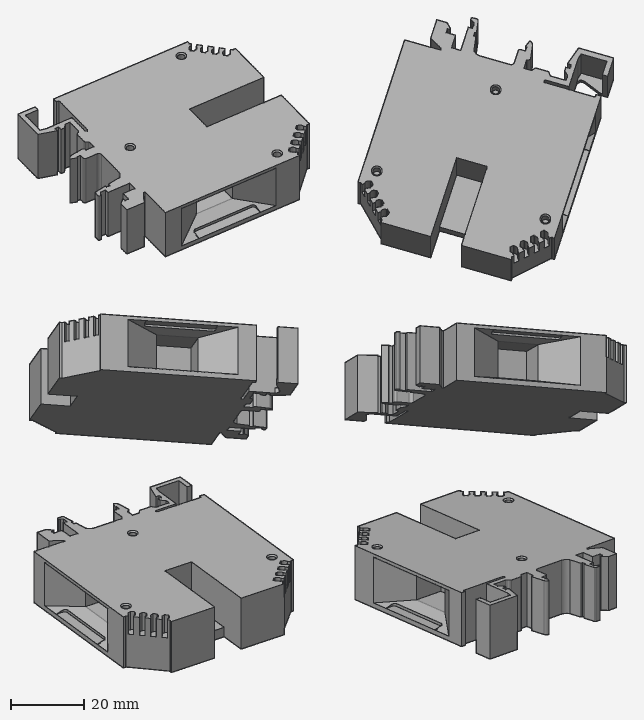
import cadquery as cq


width = 56.0
height = 64.5
thickness = 16.0
overlap = 0.5
mid_x = width / 2

body_bottom = 11.6
shoulder_y = 55.1
top_corner_x = 9.43
bevel_low = (0.8, 54.97)
bevel_length_x = 8.8
bevel_high = (bevel_low[0] + bevel_length_x, bevel_low[1] + bevel_length_x)

slot_width = 8.7
slot_bottom_y = 40.4
ledge_top_y = 56.3
ledge_thickness = 3.0

dimple_mouth_diameter = 2.9
dimple_diameter = 2.1
dimple_depth = 3.0
dimple_side_offset = 4.0
dimple_upper_y = 50.45
dimple_lower_y = 18.3

groove_count = 4
groove_first_x = 1.83
groove_pitch_x = 2.21
groove_height = 5.6
groove_neck_width = 1.5
groove_bulb_diameter = 2.1
groove_bulb_depth = 1.6
groove_end_width = 1.1
groove_end_depth = 2.75

funnel_mouth_y = (16.8, 47.5)
funnel_mouth_z = (1.45, 15.0)
throat_y = (26.3, 37.9)
throat_z = (3.4, 13.57)
funnel_depth = 7.1
throat_depth = 16.0
relief_y = (22.5, 42.4)
relief_depth = 3.05
relief_corner_radius = 0.9

web_bottom = 10.07
web_left = 9.2
web_right = 45.8
spring_slot_left = 1.5
spring_slot_right = 16.1
spring_slot_height = 0.8
root_y = web_bottom + overlap

cup_wall = 1.5
cup_height = 5.6
cup_floor_thickness = 1.5


def prism(outline, depth=thickness):
    """Prism standing on the lower face, over a closed outline of straight sides."""
    return cq.Workplane("XY").polyline(outline).close().extrude(depth)


def box(x_range, y_range, z_range):
    """Box between the given limits."""
    size = [high - low for low, high in (x_range, y_range, z_range)]
    corner = (x_range[0], y_range[0], z_range[0])
    return cq.Workplane("XY").box(*size, centered=False).translate(corner)


def mirrored(shape):
    """Copy of a shape on the other side of the middle plane."""
    return shape.mirror("YZ", (mid_x, 0, 0))


def make_housing():
    left_half = [
        (mid_x, body_bottom),
        (0, body_bottom),
        (0, shoulder_y),
        (bevel_low[0], shoulder_y),
        bevel_low,
        bevel_high,
        (top_corner_x, bevel_high[1]),
        (top_corner_x, height),
        (mid_x, height),
    ]
    half = prism(left_half)
    return half.union(mirrored(half))


def make_jumper_slot():
    slot_x = (mid_x - slot_width / 2, mid_x + slot_width / 2)
    upper = box(slot_x, (slot_bottom_y, height), (ledge_thickness, thickness))
    opening = box(slot_x, (ledge_top_y, height), (0, thickness))
    return upper.union(opening)


def make_spring_slot():
    radius = spring_slot_height / 2
    end_x = spring_slot_right - radius
    top = body_bottom + spring_slot_height
    return (
        cq.Workplane("XY")
        .moveTo(spring_slot_left, body_bottom)
        .lineTo(end_x, body_bottom)
        .threePointArc((spring_slot_right, body_bottom + radius), (end_x, top))
        .lineTo(spring_slot_left, top)
        .close()
        .extrude(thickness)
    )


def make_dimples():
    straight = dimple_depth - (dimple_mouth_diameter - dimple_diameter) / 2
    places = [
        (dimple_side_offset, dimple_upper_y),
        (width - dimple_side_offset, dimple_upper_y),
        (mid_x, dimple_lower_y),
    ]
    profile = [
        (0, -dimple_depth),
        (dimple_diameter / 2, -dimple_depth),
        (dimple_diameter / 2, straight - dimple_depth),
        (dimple_mouth_diameter / 2, 0),
        (0, 0),
    ]
    dimple = cq.Workplane("XZ").polyline(profile).close().revolve(360, (0, 0), (0, 1))
    dimples = cq.Workplane("XY")
    for x, y in places:
        dimples = dimples.add(dimple.translate((x, y, thickness)))
    return dimples.combine()


def make_marker_grooves():
    neck_x = (-groove_neck_width / 2, groove_neck_width / 2)
    end_x = (-groove_end_width / 2, groove_end_width / 2)
    tall = (0, groove_height)
    neck = box(neck_x, (-groove_bulb_depth, overlap), tall)
    end = box(end_x, (-groove_end_depth, -groove_bulb_depth), tall)
    bulb = (
        cq.Workplane("XY")
        .center(0, -groove_bulb_depth)
        .circle(groove_bulb_diameter / 2)
        .extrude(groove_height)
    )
    bevel_angle = 45
    groove = neck.union(bulb).union(end).rotate((0, 0, 0), (0, 0, 1), bevel_angle)
    grooves = cq.Workplane("XY")
    for index in range(groove_count):
        x = groove_first_x + index * groove_pitch_x
        y = bevel_low[1] + x - bevel_low[0]
        grooves = grooves.add(groove.translate((x, y, thickness - groove_height)))
    grooves = grooves.combine()
    return grooves.union(mirrored(grooves))


def side_rectangle(plane, y_range, z_range):
    """Closed rectangle on a YZ plane."""
    y_size = y_range[1] - y_range[0]
    z_size = z_range[1] - z_range[0]
    return plane.center(sum(y_range) / 2, sum(z_range) / 2).rect(y_size, z_size)


def make_wire_entry():
    mouth = side_rectangle(cq.Workplane("YZ"), funnel_mouth_y, funnel_mouth_z)
    inner_plane = cq.Workplane("YZ", origin=(funnel_depth, 0, 0))
    inner = side_rectangle(inner_plane, throat_y, throat_z)
    funnel = cq.Workplane(
        cq.Solid.makeLoft([mouth.wires().val(), inner.wires().val()], True)
    )
    throat = box((funnel_depth, throat_depth), throat_y, throat_z)
    relief = box((0, relief_depth), relief_y, funnel_mouth_z)
    relief = relief.edges("|Z and >X").fillet(relief_corner_radius)
    return funnel.union(throat).union(relief)


def make_web():
    bump_x = 17.63
    bump_bottom = 9.0
    bump_radius = 0.42
    flank_low = (2.05, 9.2)
    flank_high = (2.55, 9.87)
    root_half = 2.93
    tip_half = 1.7
    bump = (
        cq.Workplane("XY", origin=(bump_x, 0, 0))
        .moveTo(-root_half, root_y)
        .lineTo(-root_half, web_bottom)
        .radiusArc((-flank_high[0], flank_high[1]), bump_radius)
        .lineTo(-flank_low[0], flank_low[1])
        .radiusArc((-tip_half, bump_bottom), -bump_radius)
        .lineTo(tip_half, bump_bottom)
        .radiusArc(flank_low, -bump_radius)
        .lineTo(*flank_high)
        .radiusArc((root_half, web_bottom), bump_radius)
        .lineTo(root_half, root_y)
        .close()
        .extrude(thickness)
    )
    web = box((web_left, web_right), (web_bottom, body_bottom), (0, thickness))
    return web.union(bump)


def make_cup_foot():
    inner_x = 10.5
    nose_x = 11.7
    foot = prism([
        (0, 0),
        (10.0, 0),
        (11.57, 5.3),
        (inner_x, 5.3),
        (inner_x, 6.43),
        (nose_x, 6.43),
        (nose_x, 7.5),
        (inner_x, 8.6),
        (inner_x, root_y),
        (web_left, root_y),
        (web_left, 3.2),
        (8.8, cup_wall),
        (cup_wall, cup_wall),
        (cup_wall, cup_height),
        (0, cup_height),
    ])
    valley_y = 3.43
    floor_outline = [
        (cup_wall, cup_wall - overlap),
        (cup_wall, cup_height),
        (2.0, cup_height),
        (7.4, valley_y),
        (8.4, valley_y),
        (web_left, 4.4),
        (web_left, cup_wall - overlap),
    ]
    floor = prism(floor_outline, cup_floor_thickness)
    return foot.union(floor)


def make_middle_peg():
    left_x = 22.5
    right_x = 25.5
    root_radius = 0.9
    ledge_y = 5.05
    corner_radius = 0.6
    return (
        cq.Workplane("XY")
        .moveTo(left_x, root_y)
        .lineTo(left_x, 7.5)
        .lineTo(22.2, 7.5)
        .radiusArc((21.6, 6.8), -0.7)
        .lineTo(22.25, 2.8)
        .radiusArc((23.3, 1.9), -1.4)
        .lineTo(24.0, 3.85)
        .lineTo(23.57, 3.85)
        .lineTo(23.57, ledge_y)
        .lineTo(right_x - corner_radius, ledge_y)
        .radiusArc((right_x, ledge_y + corner_radius), -corner_radius)
        .lineTo(right_x, web_bottom - root_radius)
        .radiusArc((right_x + root_radius, web_bottom), root_radius)
        .lineTo(right_x + root_radius, root_y)
        .close()
        .extrude(thickness)
    )


def make_latch_peg():
    right_x = 40.5
    recess_x = 39.3
    root_radius = 2.25
    tip_radius = 0.35
    return (
        cq.Workplane("XY")
        .moveTo(35.0, root_y)
        .lineTo(35.0, web_bottom)
        .radiusArc((37.1, 8.75), root_radius)
        .lineTo(37.7, 5.0)
        .lineTo(38.36, 5.0)
        .lineTo(38.36, 3.93)
        .lineTo(37.9, 3.93)
        .lineTo(38.5, tip_radius)
        .radiusArc((38.85, 0), -tip_radius)
        .lineTo(right_x - tip_radius, 0)
        .radiusArc((right_x, tip_radius), -tip_radius)
        .lineTo(right_x, 0.93)
        .lineTo(40.0, 0.93)
        .lineTo(recess_x, 1.4)
        .lineTo(recess_x, 3.0)
        .lineTo(right_x, 3.0)
        .lineTo(right_x, root_y)
        .close()
        .extrude(thickness)
    )


def make_hook_foot():
    left_x = 43.1
    right_x = 49.35
    return prism([
        (left_x, root_y),
        (left_x, 6.25),
        (web_right, 6.25),
        (web_right, 5.1),
        (45.1, 5.1),
        (44.9, 4.9),
        (46.4, 3.4),
        (right_x, 3.4),
        (right_x, 9.1),
        (web_right, 11.07),
        (web_right, root_y),
    ])


wire_entry = make_wire_entry()
cutters = (
    make_jumper_slot(),
    make_spring_slot(),
    make_dimples(),
    make_marker_grooves(),
    wire_entry,
    mirrored(wire_entry),
)
feet = (
    make_web(),
    make_cup_foot(),
    make_middle_peg(),
    make_latch_peg(),
    make_hook_foot(),
)

result = make_housing()
for cutter in cutters:
    result = result.cut(cutter)
for foot in feet:
    result = result.union(foot)